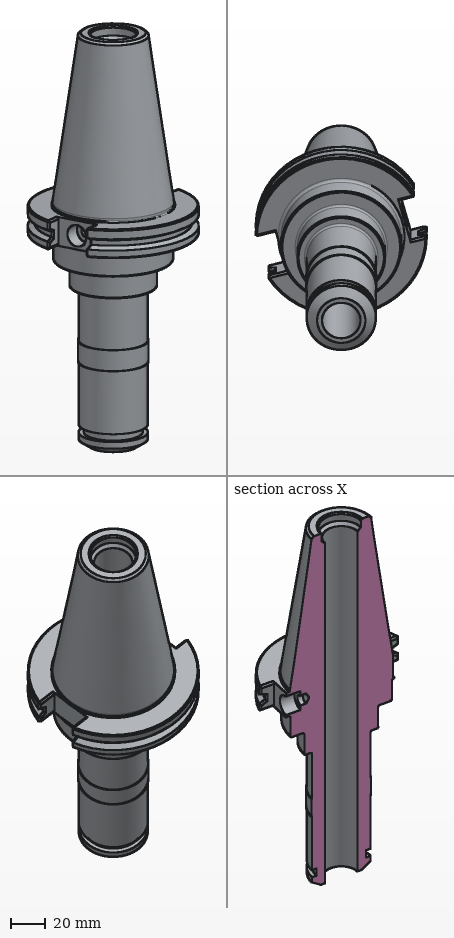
import cadquery as cq
import math

total_height = 248.0
nose_chamfer_top = 4.0
nose_groove_bottom = 8.0
nose_groove_top = 12.6
band_bottom = 50.5
band_top = 63.2
step_bottom = 95.7
collar_bottom = 111.5
flange_bottom = 127.2
flange_top = 144.5
taper_bottom = 146.8

nose_tip_diameter = 27.8
shank_diameter = 40.0
nose_groove_diameter = 34.0
band_diameter = 40.7
step_diameter = 50.5
collar_diameter = 69.2
flange_diameter = 98.5
taper_large_diameter = 70.0
taper_small_diameter = 40.5

small_chamfer = 0.7
flange_chamfer = 0.7
top_chamfer = 1.5
step_fillet = 1.2
flange_fillet = 1.7
taper_fillet = 0.7

arc_inset_ratio = 1 - math.sqrt(0.5)

flange_groove_level = 135.5
flange_groove_floor_width = 3.2
flange_groove_diameter = 90.8
flange_groove_slope = math.radians(25)

bore_diameter = 22.0
counterbore_diameter = 26.3
counterbore_depth = 5.7
counterbore_chamfer = 1.0
bore_cone_height = 2.2

slot_width = 25.3
front_slot_floor = 37.7
back_slot_floor = 35.5
slot_chamfer = 1.2
edge_tolerance = 0.02

port_diameter = 13.0
port_depth = 10.0
drill_diameter = 6.7
drill_depth = 13.6
drill_tip_angle = math.radians(118)


def make_body():
    """Revolve the outer outline of the holder about Z."""
    shank_radius = shank_diameter / 2
    nose_groove_radius = nose_groove_diameter / 2
    band_radius = band_diameter / 2
    step_radius = step_diameter / 2
    collar_radius = collar_diameter / 2
    flange_radius = flange_diameter / 2
    flange_groove_radius = flange_groove_diameter / 2
    taper_radius = taper_large_diameter / 2
    top_radius = taper_small_diameter / 2
    half_floor = flange_groove_floor_width / 2
    half_mouth = half_floor + (flange_radius - flange_groove_radius) * math.tan(flange_groove_slope)
    taper_slope = (taper_radius - top_radius) / (total_height - taper_bottom)
    taper_arc_inset = taper_fillet * arc_inset_ratio

    def fillet_below(outline, radius, level, fillet):
        """Rise along a cylinder and round outward into the underside at this level."""
        arc_inset = fillet * arc_inset_ratio
        outline = outline.lineTo(radius, level - fillet)
        return outline.threePointArc(
            (radius + arc_inset, level - arc_inset), (radius + fillet, level)
        )

    outline = (
        cq.Workplane("XZ")
        .lineTo(nose_tip_diameter / 2, 0)
        .lineTo(shank_radius, nose_chamfer_top)
        .lineTo(shank_radius, nose_groove_bottom)
        .lineTo(nose_groove_radius, nose_groove_bottom)
        .lineTo(nose_groove_radius, nose_groove_top)
        .lineTo(shank_radius, nose_groove_top)
        .lineTo(shank_radius, band_bottom)
        .lineTo(band_radius, band_bottom)
        .lineTo(band_radius, band_top)
        .lineTo(shank_radius, band_top)
    )
    outline = fillet_below(outline, shank_radius, step_bottom, step_fillet)
    outline = outline.lineTo(step_radius - small_chamfer, step_bottom)
    outline = outline.lineTo(step_radius, step_bottom + small_chamfer)
    outline = fillet_below(outline, step_radius, collar_bottom, step_fillet)
    outline = outline.lineTo(collar_radius - small_chamfer, collar_bottom)
    outline = outline.lineTo(collar_radius, collar_bottom + small_chamfer)
    outline = fillet_below(outline, collar_radius, flange_bottom, flange_fillet)
    outline = (
        outline.lineTo(flange_radius - flange_chamfer, flange_bottom)
        .lineTo(flange_radius, flange_bottom + flange_chamfer)
        .lineTo(flange_radius, flange_groove_level - half_mouth)
        .lineTo(flange_groove_radius, flange_groove_level - half_floor)
        .lineTo(flange_groove_radius, flange_groove_level + half_floor)
        .lineTo(flange_radius, flange_groove_level + half_mouth)
        .lineTo(flange_radius, flange_top - flange_chamfer)
        .lineTo(flange_radius - flange_chamfer, flange_top)
        .lineTo(taper_radius + taper_fillet, flange_top)
        .threePointArc(
            (taper_radius + taper_arc_inset, flange_top + taper_arc_inset),
            (taper_radius, flange_top + taper_fillet),
        )
        .lineTo(taper_radius, taper_bottom)
        .lineTo(top_radius + taper_slope * top_chamfer, total_height - top_chamfer)
        .lineTo(top_radius - top_chamfer, total_height)
        .lineTo(0, total_height)
        .close()
    )
    return outline.revolve(360, (0, 0, 0), (0, 1, 0))


def make_bore():
    """Through bore with a chamfered counterbore that narrows on a cone."""
    bore_radius = bore_diameter / 2
    counterbore_radius = counterbore_diameter / 2
    counterbore_bottom = total_height - counterbore_depth
    return (
        cq.Workplane("XZ")
        .lineTo(bore_radius, 0)
        .lineTo(bore_radius, counterbore_bottom - bore_cone_height)
        .lineTo(counterbore_radius, counterbore_bottom)
        .lineTo(counterbore_radius, total_height - counterbore_chamfer)
        .lineTo(counterbore_radius + counterbore_chamfer, total_height)
        .lineTo(0, total_height)
        .close()
        .revolve(360, (0, 0, 0), (0, 1, 0))
    )


def cut_slots(body):
    """Cut both drive slots and chamfer every wall edge except those along the floors."""
    slot_depth = flange_diameter / 2
    flange_height = flange_top - flange_bottom
    for floor_position, direction in ((-front_slot_floor, -1), (back_slot_floor, 1)):
        slot = cq.Workplane("XY").box(slot_width, slot_depth, flange_height, centered=(True, True, False))
        body = body.cut(slot.translate((0, floor_position + direction * slot_depth / 2, flange_bottom)))
    wall_faces = body.faces("|X")
    wall_edges = wall_faces.edges().filter(
        lambda edge: edge.Center().y < -front_slot_floor - edge_tolerance
        or edge.Center().y > back_slot_floor + edge_tolerance
    )
    return wall_edges.chamfer(slot_chamfer)


def make_port():
    """Stepped hole with a drill point, running inward from the -Y slot floor."""
    port_radius = port_diameter / 2
    drill_radius = drill_diameter / 2
    tip_depth = drill_depth + drill_radius / math.tan(drill_tip_angle / 2)
    return (
        cq.Workplane("XY", origin=(0, -front_slot_floor, flange_groove_level))
        .lineTo(port_radius, 0)
        .lineTo(port_radius, port_depth)
        .lineTo(drill_radius, port_depth)
        .lineTo(drill_radius, drill_depth)
        .lineTo(0, tip_depth)
        .close()
        .revolve(360, (0, 0, 0), (0, 1, 0))
    )


result = cut_slots(make_body())
result = result.cut(make_bore()).cut(make_port())